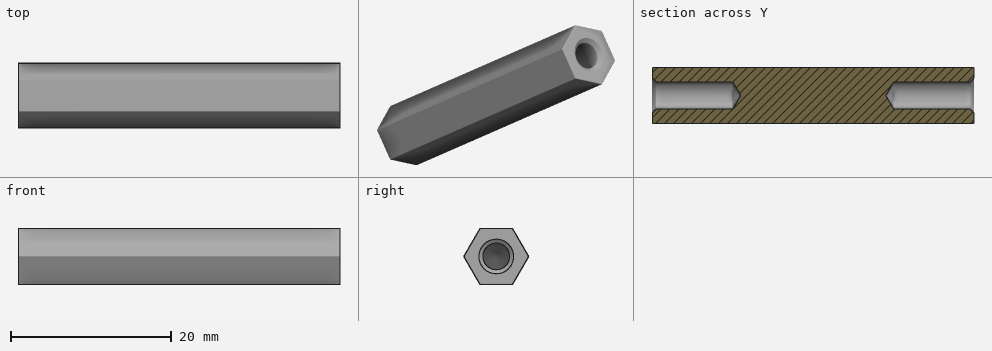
import cadquery as cq
import math

length = 40.0
side_count = 6
across_flats = 7.0
edge_radius = 0.1

hole_diameter = 3.3
hole_depth = 10.0
drill_point_angle = 120.0
countersink_diameter = 4.3
countersink_angle = 90.0


def make_hex_bar():
    """Hexagonal bar with flats at the top and bottom and all outer edges rounded."""
    across_corners = across_flats / math.cos(math.pi / side_count)
    bar = cq.Workplane("YZ").polygon(side_count, across_corners).extrude(length / 2, both=True)
    return bar.edges().fillet(edge_radius)


def make_hole_cutter():
    """Countersunk drilled hole entering the -X end face on the bar axis."""
    hole_radius = hole_diameter / 2
    countersink_radius = countersink_diameter / 2
    countersink_depth = (countersink_radius - hole_radius) / math.tan(math.radians(countersink_angle / 2))
    point_length = hole_radius / math.tan(math.radians(drill_point_angle / 2))
    half_profile = [
        (0, 0),
        (0, countersink_radius),
        (countersink_depth, hole_radius),
        (hole_depth, hole_radius),
        (hole_depth + point_length, 0),
    ]
    cutter = cq.Workplane("XY").polyline(half_profile).close().revolve(360, (0, 0, 0), (1, 0, 0))
    return cutter.translate((-length / 2, 0, 0))


entry_hole = make_hole_cutter()
result = make_hex_bar().cut(entry_hole).cut(entry_hole.mirror("YZ"))